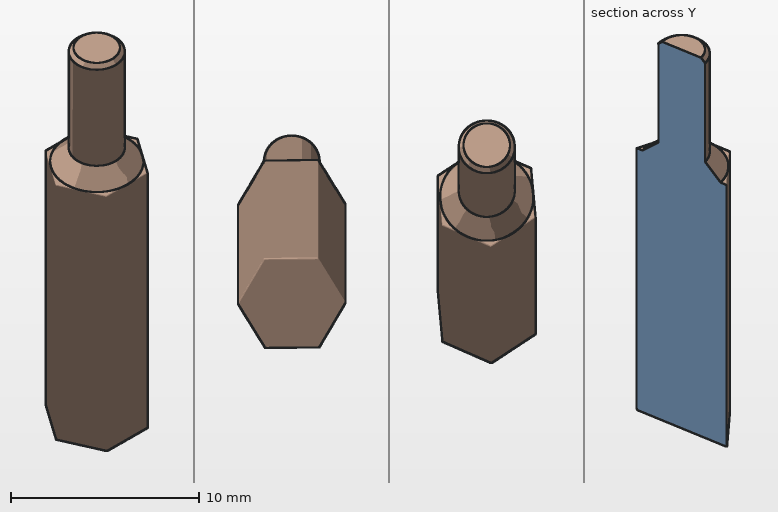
import cadquery as cq
import math

total_height = 26.0
across_flats = 5.0
hex_height = 18.0
cone_height = 1.0
shank_diameter = 3.0
tip_chamfer = 0.25
edge_round = 0.09

across_corners = across_flats / math.cos(math.pi / 6)
shank_radius = shank_diameter / 2
shank_base = hex_height + cone_height
cone_base_radius = shank_radius + cone_height


def hex_body():
    """Hexagonal bar with corners along X and every edge rounded."""
    bar = cq.Workplane("XY").polygon(6, across_corners).extrude(hex_height)
    return bar.edges().fillet(edge_round)


def threaded_end():
    """Plain shank with a chamfered tip and a cone down to the hexagon."""
    return (
        cq.Workplane("XZ")
        .moveTo(0, hex_height - edge_round)
        .lineTo(cone_base_radius - edge_round, hex_height - edge_round)
        .lineTo(cone_base_radius, hex_height)
        .lineTo(shank_radius, shank_base)
        .lineTo(shank_radius, total_height - tip_chamfer)
        .lineTo(shank_radius - tip_chamfer, total_height)
        .lineTo(0, total_height)
        .close()
        .revolve(360, (0, 0, 0), (0, 1, 0))
    )


result = hex_body().union(threaded_end())